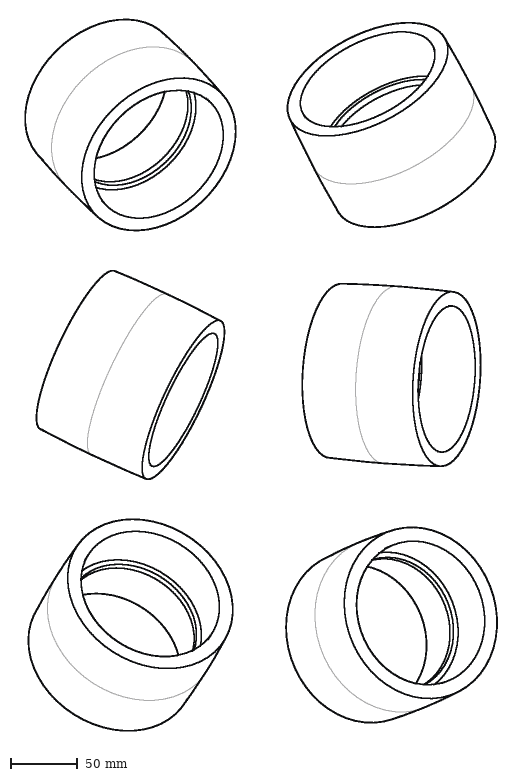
import cadquery as cq
import math

length = 90.0
crown_diameter = 133.5
end_diameter = 131.4

socket_diameter = 110.0
stop_diameter = 102.1
stop_width = 5.3
seam_offset = -1.2

half_length = length / 2


def crown_point(end_x):
    """Point halfway along X on the arc that leaves the seam level and drops to the end face."""
    run = end_x - seam_offset
    drop = (crown_diameter - end_diameter) / 2
    arc_radius = (run**2 + drop**2) / (2 * drop)
    half_run = run / 2
    half_drop = arc_radius - math.sqrt(arc_radius**2 - half_run**2)
    return (seam_offset + half_run, crown_diameter / 2 - half_drop)


def barrel():
    """Solid crowned body: two arcs that meet level at the crown seam."""
    return (
        cq.Workplane("XY")
        .moveTo(-half_length, 0)
        .lineTo(-half_length, end_diameter / 2)
        .threePointArc(crown_point(-half_length), (seam_offset, crown_diameter / 2))
        .threePointArc(crown_point(half_length), (half_length, end_diameter / 2))
        .lineTo(half_length, 0)
        .close()
        .revolve(360, (0, 0, 0), (1, 0, 0))
    )


def bore(diameter, start, end):
    """Cylinder along X between two X positions."""
    return cq.Workplane("YZ", origin=(start, 0, 0)).circle(diameter / 2).extrude(end - start)


stop_start = seam_offset - stop_width / 2
stop_end = seam_offset + stop_width / 2

result = (
    barrel()
    .cut(bore(stop_diameter, -half_length, half_length))
    .cut(bore(socket_diameter, -half_length, stop_start))
    .cut(bore(socket_diameter, stop_end, half_length))
)